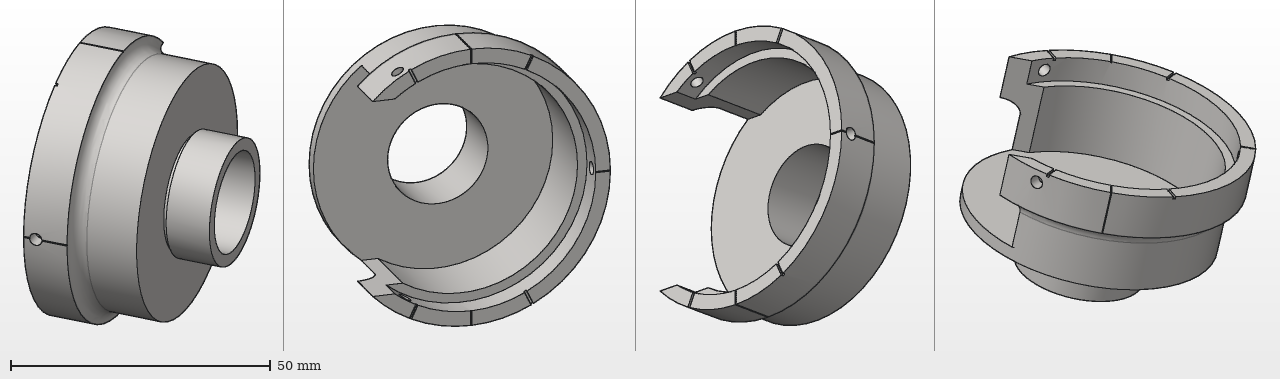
import cadquery as cq
import math

rim_length = 9.1
ledge_depth = 5.15
floor_position = 19.75
body_length = 22.4
relief_length = 0.9
total_length = 32.3

rim_radius = 28.4
body_radius = 25.4
seat_radius = body_radius
cavity_radius = 23.45
hub_radius = 12.7
relief_radius = 11.75
bore_radius = 10.2
shoulder_fillet = 2.9

opening_height = 40.05

pin_diameter = 2.55
pin_position = 2.55
pin_count = 3

mark_width = 0.15
mark_depth = 0.2
face_groove_width = 0.5
face_groove_depth = 0.5
face_groove_angle = 26.0


def revolved_body():
    """Stepped cup and hub, bored through along X."""
    fillet_end = rim_length + shoulder_fillet
    arc_centre_radius = body_radius + shoulder_fillet
    arc_offset = shoulder_fillet * math.sqrt(0.5)
    arc_middle = (fillet_end - arc_offset, arc_centre_radius - arc_offset)
    return (
        cq.Workplane("XY")
        .moveTo(0, seat_radius)
        .lineTo(0, rim_radius)
        .lineTo(rim_length, rim_radius)
        .lineTo(rim_length, arc_centre_radius)
        .threePointArc(arc_middle, (fillet_end, body_radius))
        .lineTo(body_length, body_radius)
        .lineTo(body_length, relief_radius)
        .lineTo(body_length + relief_length, relief_radius)
        .lineTo(body_length + relief_length, hub_radius)
        .lineTo(total_length, hub_radius)
        .lineTo(total_length, bore_radius)
        .lineTo(floor_position, bore_radius)
        .lineTo(floor_position, cavity_radius)
        .lineTo(ledge_depth, cavity_radius)
        .lineTo(ledge_depth, seat_radius)
        .close()
        .revolve(360, (0, 0, 0), (1, 0, 0))
    )


def side_opening():
    """Block that opens the cup wall on the +Y side, up to the cavity floor."""
    return cq.Workplane("XY").box(
        floor_position, rim_radius, opening_height, centered=(False, False, True)
    )


def around_axis(shape, angle):
    """Turn a shape built on +Y about the X axis, from +Y towards +Z."""
    return shape.rotate((0, 0, 0), (1, 0, 0), angle)


def radial_block(length, inner_radius, width):
    """Block on the +Y side from the rim face, reaching past the rim surface."""
    return (
        cq.Workplane("XY")
        .box(length, rim_radius, width, centered=(False, False, True))
        .translate((0, inner_radius, 0))
    )


def pin_hole():
    """Radial cylinder along +Y through the rim wall."""
    return (
        cq.Workplane("XZ")
        .center(pin_position, 0)
        .circle(pin_diameter / 2)
        .extrude(-rim_radius)
    )


def add_pin_holes(part):
    for index in range(pin_count):
        angle = 180 + index * 360 / pin_count
        part = part.cut(around_axis(pin_hole(), angle))
    return part


def add_quarter_marks(part):
    """Fine lines along the outside of the rim and across its face."""
    outer_line = radial_block(rim_length, rim_radius - mark_depth, mark_width)
    face_line = radial_block(mark_depth, cavity_radius, mark_width)
    for angle in (90, 180, 270):
        part = part.cut(around_axis(outer_line, angle))
        part = part.cut(around_axis(face_line, angle))
    return part


def add_face_grooves(part):
    """Short radial grooves across the rim face, either side of the Z axis."""
    groove = radial_block(face_groove_depth, cavity_radius, face_groove_width)
    for pole in (90, 270):
        for side in (-1, 1):
            part = part.cut(around_axis(groove, pole + side * face_groove_angle))
    return part


result = revolved_body().cut(side_opening())
result = add_pin_holes(result)
result = add_quarter_marks(result)
result = add_face_grooves(result)